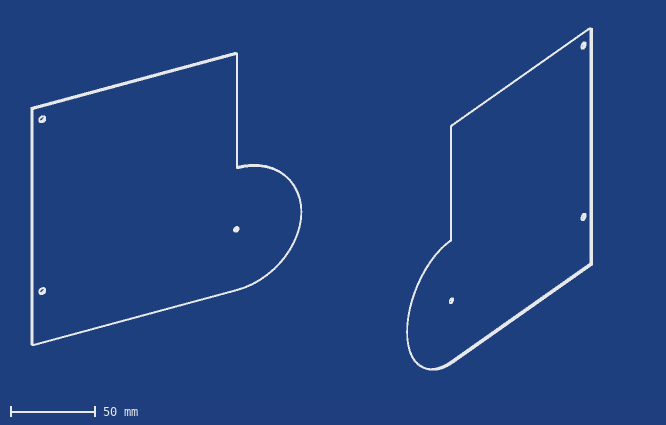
import cadquery as cq

thickness = 1.5
body_width = 135.0
body_height = 165.0
lobe_radius = 42.5

pivot_diameter = 3.0
pivot_edge_distance = 134.5

mount_diameter = 4.0
mount_edge_distance = 6.4
mount_lower_height = 36.0
mount_spacing = 120.0


def plate():
    """Rectangular plate with a half-round lobe at its lower +Y corner."""
    return (
        cq.Workplane("YZ")
        .lineTo(body_width, 0)
        .threePointArc(
            (body_width + lobe_radius, lobe_radius),
            (body_width, 2 * lobe_radius),
        )
        .lineTo(body_width, body_height)
        .lineTo(0, body_height)
        .close()
        .extrude(thickness)
    )


def through_holes(points, diameter):
    """Cylinders along X that cut through the full plate thickness."""
    return (
        cq.Workplane("YZ")
        .pushPoints(points)
        .circle(diameter / 2)
        .extrude(thickness)
    )


pivot_points = [(pivot_edge_distance, lobe_radius)]
mount_points = [
    (mount_edge_distance, mount_lower_height),
    (mount_edge_distance, mount_lower_height + mount_spacing),
]

result = (
    plate()
    .cut(through_holes(pivot_points, pivot_diameter))
    .cut(through_holes(mount_points, mount_diameter))
)